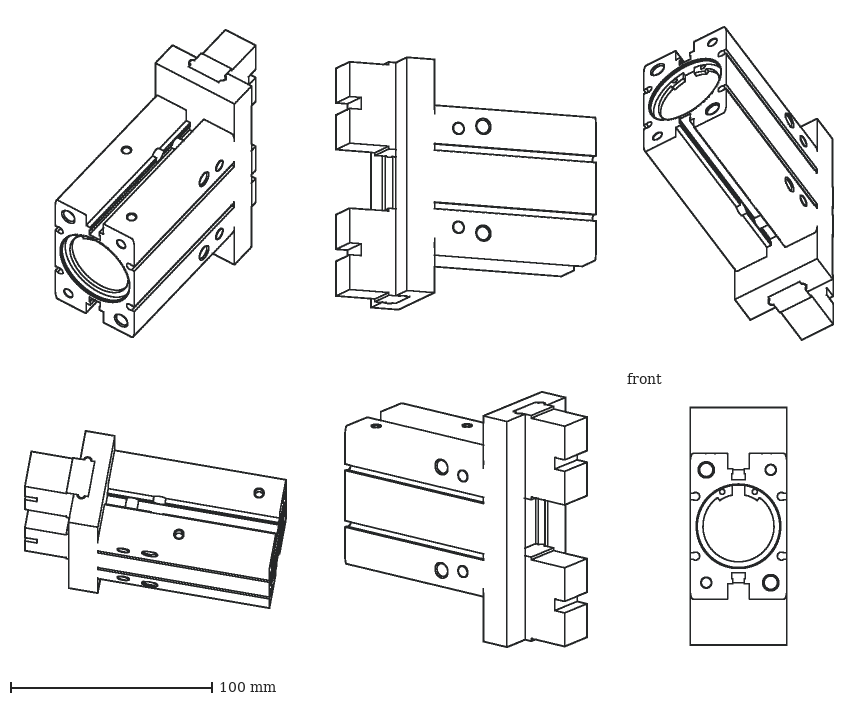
import cadquery as cq
import math


WIDTH = 48.0
HALF_WIDTH = WIDTH / 2
BODY_HEIGHT = 72.4
HALF_HEIGHT = BODY_HEIGHT / 2
BODY_LENGTH = 86.4
CURVE_START_Z = 31.5
CURVE_RADIUS = 12.0
CORNER_FILLET = 1.2

PLATE_THICKNESS = 14.8
PLATE_FRONT = BODY_LENGTH + PLATE_THICKNESS
PLATE_HEIGHT = 118.0

SLOT_WIDTH = 10.5
SLOT_FLOOR_Z = 28.5
SLOT_EDGE_FILLET = 0.5
THROAT_WIDTH = 5.6
THROAT_BOTTOM_Z = 26.0
CHANNEL_WIDTH = 6.5
CHANNEL_BOTTOM_Z = 23.0

GROOVE_DIAMETER = 4.0
GROOVE_DEPTH = 4.7
GROOVE_MOUTH = 3.3
GROOVE_Z = 14.8

BORE_DIAMETER = 41.0
COUNTERBORE_DIAMETER = 42.0
COUNTERBORE_DEPTH = 0.6
RING_FACE_DEPTH = 3.7
RING_THICKNESS = 2.0
COVER_DEPTH = RING_FACE_DEPTH + RING_THICKNESS
RING_INNER_RADIUS = 17.65
LUG_INNER_RADIUS = 15.8
LUG_HALF_ANGLE = math.radians(36)
RING_GAP = 6.3
LUG_HOLE_DIAMETER = 2.5
LUG_HOLE_X = 8.1
LUG_HOLE_Z = 17.1

LARGE_HOLE = 6.65
LARGE_MOUTH = 8.0
MEDIUM_HOLE = 5.0
MEDIUM_MOUTH = 5.4
PORT_HOLE = 4.13
PORT_MOUTH = 5.0
REAR_HOLE_X = 16.0
REAR_HOLE_Z = 28.0
REAR_HOLE_DEPTH = 20.0
PORT_X = 14.0
PORT_DEPTH = 5.0
FRONT_PORT_Y = 47.3
REAR_PORT_Y = 11.9
CROSS_HOLE_Y = 60.3
CROSS_HOLE_Z = 27.0

PIN_DIAMETER = 6.0
PIN_Y = 73.6
PIN_Z = 25.0
PIN_CHAMFER = 0.25

JAW_WIDTH = 18.4
JAW_CENTER_Z = 37.0
JAW_BASE_HEIGHT = 44.0
JAW_BLOCK_HEIGHT = 41.2
JAW_BACK = 93.9
JAW_BASE_FRONT = 105.0
JAW_FRONT = 125.9
JAW_SLOT_WIDTH = 6.0
JAW_SLOT_DEPTH = 6.1
BEAD_Y = 97.4
BEAD_X = 8.8
BEAD_RADIUS = 1.7
BEAD_CLEARANCE = 0.4


def box(x_range, y_range, z_range):
    """Box between the given limits on each axis."""
    size = [high - low for low, high in (x_range, y_range, z_range)]
    corner = (x_range[0], y_range[0], z_range[0])
    return cq.Workplane("XY").box(*size, centered=False).translate(corner)


def centered(size, middle=0.0):
    """Limits of a length placed symmetrically about a middle value."""
    return (middle - size / 2, middle + size / 2)


def rod(start, direction, diameter, length):
    """Solid cylinder from a start point along a direction."""
    return cq.Workplane(cq.Solid.makeCylinder(diameter / 2, length, cq.Vector(*start), cq.Vector(*direction)))


def chamfered_hole(start, direction, diameter, mouth, depth):
    """Cutter for a hole with a 45 degree chamfer at its mouth."""
    chamfer_depth = (mouth - diameter) / 2
    cone = cq.Solid.makeCone(
        mouth / 2, diameter / 2, chamfer_depth, cq.Vector(*start), cq.Vector(*direction)
    )
    return rod(start, direction, diameter, depth).union(cq.Workplane(cone))


def body_profile():
    """Rectangular section whose side walls curve inward near the top and bottom."""
    curve_center_x = HALF_WIDTH - CURVE_RADIUS
    curve_rise = HALF_HEIGHT - CURVE_START_Z
    end_angle = math.asin(curve_rise / CURVE_RADIUS)

    def curve_point(angle):
        return (
            curve_center_x + CURVE_RADIUS * math.cos(angle),
            CURVE_START_Z + CURVE_RADIUS * math.sin(angle),
        )

    middle_x, middle_z = curve_point(end_angle / 2)
    end_x, end_z = curve_point(end_angle)
    return (
        cq.Workplane("XZ")
        .moveTo(HALF_WIDTH, -CURVE_START_Z)
        .lineTo(HALF_WIDTH, CURVE_START_Z)
        .threePointArc((middle_x, middle_z), (end_x, end_z))
        .lineTo(-end_x, end_z)
        .threePointArc((-middle_x, middle_z), (-HALF_WIDTH, CURVE_START_Z))
        .lineTo(-HALF_WIDTH, -CURVE_START_Z)
        .threePointArc((-middle_x, -middle_z), (-end_x, -end_z))
        .lineTo(end_x, -end_z)
        .threePointArc((middle_x, -middle_z), (HALF_WIDTH, -CURVE_START_Z))
        .close()
    )


def edges_at(x, z):
    """Selector for the long body edges at mirrored places (+-x, +-z)."""
    reach = 0.05
    selector = None
    for side in (-1, 1):
        for face in (-1, 1):
            low = (side * x - reach, -reach, face * z - reach)
            high = (side * x + reach, BODY_LENGTH + reach, face * z + reach)
            here = cq.selectors.BoxSelector(low, high)
            selector = here if selector is None else selector + here
    return selector


def sensor_slot():
    """Cutter for the stepped slot along the top."""
    along = (0, BODY_LENGTH)
    opening = box(centered(SLOT_WIDTH), along, (SLOT_FLOOR_Z, HALF_HEIGHT))
    throat = box(centered(THROAT_WIDTH), along, (THROAT_BOTTOM_Z, SLOT_FLOOR_Z))
    channel = box(centered(CHANNEL_WIDTH), along, (CHANNEL_BOTTOM_Z, THROAT_BOTTOM_Z))
    return opening.union(throat).union(channel)


def side_groove(side, z):
    """Cutter for a round groove that opens through a narrower mouth in a side wall."""
    center_x = side * (HALF_WIDTH - GROOVE_DEPTH + GROOVE_DIAMETER / 2)
    mouth_x = sorted((center_x, side * HALF_WIDTH))
    mouth = box(mouth_x, (0, BODY_LENGTH), centered(GROOVE_MOUTH, z))
    return rod((center_x, 0, z), (0, 1, 0), GROOVE_DIAMETER, BODY_LENGTH).union(mouth)


def bore():
    """Cutter for the bore in front of the cover, with a shallow counterbore and a chamfer below it."""
    counterbore = rod((0, 0, 0), (0, 1, 0), COUNTERBORE_DIAMETER, COUNTERBORE_DEPTH)
    barrel_start = (0, COUNTERBORE_DEPTH, 0)
    barrel_length = COVER_DEPTH - COUNTERBORE_DEPTH
    barrel = chamfered_hole(barrel_start, (0, 1, 0), BORE_DIAMETER, COUNTERBORE_DIAMETER, barrel_length)
    return counterbore.union(barrel)


def retaining_ring():
    """Ring lying on the cover, open at the top between two wider lugs with plier holes."""
    def disc(radius):
        return rod((0, RING_FACE_DEPTH, 0), (0, 1, 0), 2 * radius, RING_THICKNESS)

    bore_radius = BORE_DIAMETER / 2
    wedge_side = 2 * bore_radius
    wedge_x = wedge_side * math.sin(LUG_HALF_ANGLE)
    wedge_z = wedge_side * math.cos(LUG_HALF_ANGLE)
    wedge = (
        cq.Workplane("XZ")
        .polyline([(0, 0), (wedge_x, wedge_z), (-wedge_x, wedge_z)])
        .close()
        .extrude(-COVER_DEPTH)
    )
    band = disc(bore_radius).cut(disc(RING_INNER_RADIUS))
    lugs = disc(bore_radius).cut(disc(LUG_INNER_RADIUS)).intersect(wedge)
    ring = band.union(lugs)
    ring = ring.cut(box(centered(RING_GAP), (0, COVER_DEPTH), (0, bore_radius)))
    for side in (-1, 1):
        hole_start = (side * LUG_HOLE_X, RING_FACE_DEPTH, LUG_HOLE_Z)
        ring = ring.cut(rod(hole_start, (0, 1, 0), LUG_HOLE_DIAMETER, RING_THICKNESS))
    return ring


def jaw_guide():
    """Cutter for the track along the plate that holds the jaws and their beads."""
    along = centered(PLATE_HEIGHT)
    guide = box(centered(JAW_WIDTH), (JAW_BACK, PLATE_FRONT), along)
    for side in (-1, 1):
        start = (side * BEAD_X, BEAD_Y, along[0])
        guide = guide.union(rod(start, (0, 0, 1), 2 * (BEAD_RADIUS + BEAD_CLEARANCE), PLATE_HEIGHT))
    return guide


def pin_end_chamfer(side, face):
    """Cutter for the shallow ring left around a cross pin's chamfered end, flush with the side wall."""
    start = (side * HALF_WIDTH, PIN_Y, face * PIN_Z)
    inward = (-side, 0, 0)
    pin_radius = PIN_DIAMETER / 2
    tip = cq.Solid.makeCone(
        pin_radius - PIN_CHAMFER, pin_radius, PIN_CHAMFER, cq.Vector(*start), cq.Vector(*inward)
    )
    return rod(start, inward, PIN_DIAMETER, PIN_CHAMFER).cut(cq.Workplane(tip))


def make_housing():
    housing = body_profile().extrude(-BODY_LENGTH)
    curve_rise = HALF_HEIGHT - CURVE_START_Z
    curve_end_x = HALF_WIDTH - CURVE_RADIUS + math.sqrt(CURVE_RADIUS**2 - curve_rise**2)
    housing = housing.edges(edges_at(curve_end_x, HALF_HEIGHT)).fillet(CORNER_FILLET)

    top_slot = sensor_slot()
    housing = housing.cut(top_slot).cut(top_slot.mirror("XY"))
    housing = housing.edges(edges_at(SLOT_WIDTH / 2, HALF_HEIGHT)).fillet(SLOT_EDGE_FILLET)
    for side in (-1, 1):
        for face in (-1, 1):
            housing = housing.cut(side_groove(side, face * GROOVE_Z))

    plate = box(centered(WIDTH), (BODY_LENGTH, PLATE_FRONT), centered(PLATE_HEIGHT))
    housing = housing.union(plate.cut(jaw_guide()))
    housing = housing.cut(bore()).union(retaining_ring())

    for side in (-1, 1):
        large_start = (side * REAR_HOLE_X, 0, -side * REAR_HOLE_Z)
        medium_start = (side * REAR_HOLE_X, 0, side * REAR_HOLE_Z)
        large_hole = chamfered_hole(large_start, (0, 1, 0), LARGE_HOLE, LARGE_MOUTH, REAR_HOLE_DEPTH)
        medium_hole = chamfered_hole(medium_start, (0, 1, 0), MEDIUM_HOLE, MEDIUM_MOUTH, REAR_HOLE_DEPTH)
        housing = housing.cut(large_hole).cut(medium_hole)

    for x, y in ((-PORT_X, FRONT_PORT_Y), (PORT_X, REAR_PORT_Y)):
        port_start = (x, y, HALF_HEIGHT)
        port = chamfered_hole(port_start, (0, 0, -1), PORT_HOLE, PORT_MOUTH, PORT_DEPTH)
        housing = housing.cut(port)

    for face in (-1, 1):
        for side in (-1, 1):
            inward = (-side, 0, 0)
            hole_start = (side * HALF_WIDTH, CROSS_HOLE_Y, face * CROSS_HOLE_Z)
            housing = housing.cut(chamfered_hole(hole_start, inward, LARGE_HOLE, LARGE_MOUTH, WIDTH))
        pin_start = (-HALF_WIDTH, PIN_Y, face * PIN_Z)
        housing = housing.union(rod(pin_start, (1, 0, 0), PIN_DIAMETER, WIDTH))
        for side in (-1, 1):
            housing = housing.cut(pin_end_chamfer(side, face))
    return housing


def make_jaw(side):
    """One jaw; side is +1 for the upper jaw and -1 for the lower jaw."""
    center_z = side * JAW_CENTER_Z
    base_z = centered(JAW_BASE_HEIGHT, center_z)
    jaw = box(centered(JAW_WIDTH), (JAW_BACK, JAW_BASE_FRONT), base_z)
    block_z = centered(JAW_BLOCK_HEIGHT, center_z)
    jaw = jaw.union(box(centered(JAW_WIDTH), (JAW_BASE_FRONT, JAW_FRONT), block_z))
    for edge in (-1, 1):
        bead_start = (edge * BEAD_X, BEAD_Y, base_z[0])
        jaw = jaw.union(rod(bead_start, (0, 0, 1), 2 * BEAD_RADIUS, JAW_BASE_HEIGHT))
    slot_y = (JAW_FRONT - JAW_SLOT_DEPTH, JAW_FRONT)
    return jaw.cut(box(centered(JAW_WIDTH), slot_y, centered(JAW_SLOT_WIDTH, center_z)))


housing = make_housing()
jaws = [make_jaw(side) for side in (-1, 1)]

result = cq.Compound.makeCompound([housing.val(), *[jaw.val() for jaw in jaws]])